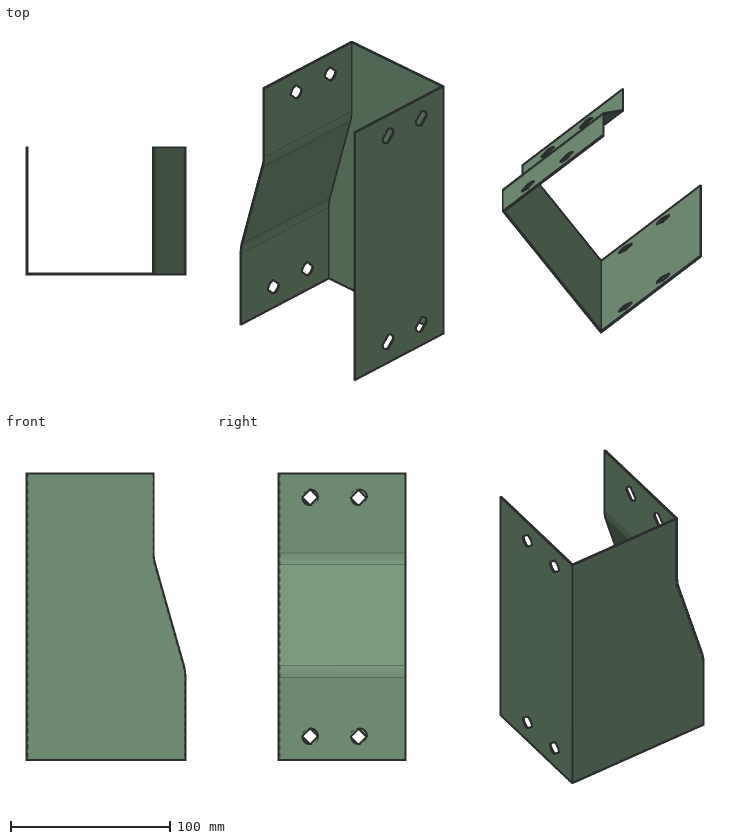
import cadquery as cq
import math

depth = 80.0
height = 180.0
top_width = 80.0
bottom_width = 100.0
sheet = 0.8

crank_low_z = 55.8
crank_high_z = 126.5
bend_radius = 27.0
crank_angle = math.atan2(bottom_width - top_width, crank_high_z - crank_low_z)

hole_diameter = 10.0
hole_across_flats = 7.0
hole_tilt = 45.0
hole_edge_margin = 15.0
hole_heights = (hole_edge_margin, height - hole_edge_margin)
front_hole_y = 20.0
near_hole_spacing = 30.0
far_hole_spacing = 30.75


def crank_prism(offset, low_radius, high_radius):
    """Prism with the side outline, set in by offset from the front and both X walls."""
    corner_drop = offset * math.tan(crank_angle / 2)
    low_corner = (bottom_width - offset, crank_low_z - corner_drop)
    high_corner = (top_width - offset, crank_high_z - corner_drop)
    prism = (
        cq.Workplane("XZ", origin=(0, offset, 0))
        .moveTo(offset, 0)
        .lineTo(bottom_width - offset, 0)
        .lineTo(*low_corner)
        .lineTo(*high_corner)
        .lineTo(top_width - offset, height)
        .lineTo(offset, height)
        .close()
        .extrude(-depth)
    )
    for (x, z), radius in ((low_corner, low_radius), (high_corner, high_radius)):
        mid_edge = (x, offset + depth / 2, z)
        prism = prism.edges(cq.selectors.NearestToPointSelector(mid_edge)).fillet(radius)
    return prism


def channel():
    """Sheet channel open at the back, the top and the bottom."""
    outside = crank_prism(0, bend_radius + sheet, bend_radius)
    inside = crank_prism(sheet, bend_radius, bend_radius + sheet)
    return outside.cut(inside)


def hole_cutters(start_x, end_x, spacing, tilt):
    """Double-D cutters running from start_x to end_x, their flats tilted about X."""
    length = end_x - start_x
    flats = cq.Workplane("YZ").rect(hole_diameter, hole_across_flats).extrude(length)
    cutter = (
        cq.Workplane("YZ")
        .circle(hole_diameter / 2)
        .extrude(length)
        .intersect(flats)
        .rotate((0, 0, 0), (1, 0, 0), tilt)
    )
    cutters = cq.Workplane("YZ")
    for y in (front_hole_y, front_hole_y + spacing):
        for z in hole_heights:
            cutters = cutters.add(cutter.translate((start_x, y, z)))
    return cutters.combine()


middle_x = top_width / 2
near_holes = hole_cutters(0, middle_x, near_hole_spacing, -hole_tilt)
far_holes = hole_cutters(middle_x, bottom_width, far_hole_spacing, hole_tilt)

result = channel().cut(near_holes).cut(far_holes)